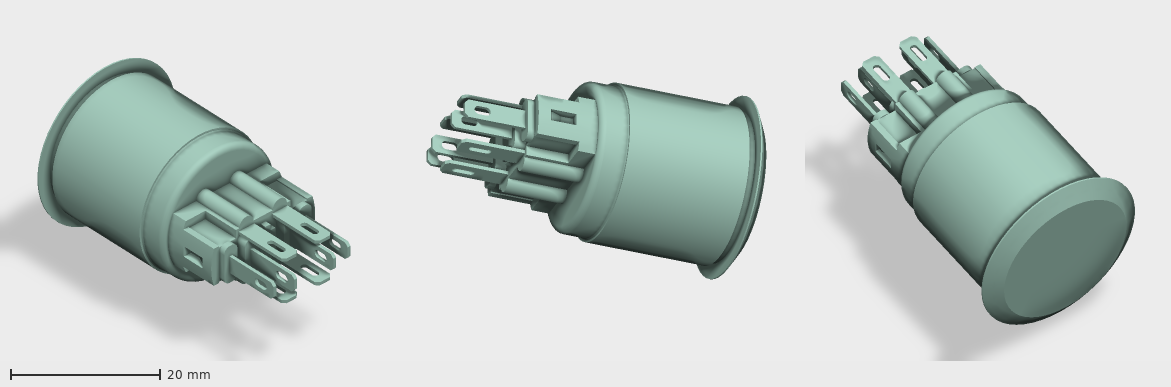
import cadquery as cq

flange_diameter = 25.0
face_diameter = 20.05
flange_rim_start = 1.55
flange_back = 1.75
neck_diameter = 20.8
barrel_diameter = 21.8
barrel_start = 2.75
barrel_end = 19.95
step_diameter = 21.15
step_end = 20.15
housing_end = 24.0
housing_end_radius = 0.9

block_end = 32.53
block_diameter = 18.95
block_half_height = 4.2
rib_radius = 1.3
terminal_row_y = 3.05

notch_start = 26.5
notch_floor_z = 3.05
notch_inner_y = 4.95
notch_lip_y = 8.05
notch_lip_height = 0.2

pocket_start = 27.1
pocket_end = 30.77
pocket_height = 1.7
pocket_depth = 1.35
pocket_shallow_depth = 0.7
ramp_start = 28.8
ramp_end = 30.2

blade_thickness = 0.5
blade_chamfer = 0.5
side_blade_width = 2.7
side_slot_length = 2.3
side_slot_width = 1.25
side_slot_tip_gap = 1.35
flat_blade_width = 2.82
flat_blade_tip = 41.45
flat_blade_z = 3.42
flat_slot_length = 3.15
flat_slot_width = 1.05
flat_slot_tip_gap = 1.4

outer_blade_y = 6.75
outer_blade_tip = 42.15
outer_pad_end = 33.45
inner_blade_y = 3.55
inner_shift = 0.65
pad_width = 2.4
pad_height = 6.05
pad_corner_diameter = 2.0

middle_pad_width = 2.75
middle_pad_step_width = 0.9
middle_pad_height = pad_height
middle_pad_step_height = 4.02


def box_between(x_range, y_range, z_range):
    """Box spanning the given ranges, each a (low, high) pair."""
    sizes = [high - low for low, high in (x_range, y_range, z_range)]
    corner = (x_range[0], y_range[0], z_range[0])
    return cq.Workplane("XY").box(*sizes, centered=False).translate(corner)


def make_housing():
    profile = (
        cq.Workplane("XY")
        .moveTo(0, 0)
        .lineTo(0, face_diameter / 2)
        .lineTo(flange_rim_start, flange_diameter / 2)
        .lineTo(flange_back, flange_diameter / 2)
        .lineTo(flange_back, neck_diameter / 2)
        .lineTo(barrel_start, neck_diameter / 2)
        .lineTo(barrel_start, barrel_diameter / 2)
        .lineTo(barrel_end, barrel_diameter / 2)
        .lineTo(barrel_end, step_diameter / 2)
        .lineTo(step_end, neck_diameter / 2)
        .lineTo(housing_end, neck_diameter / 2)
        .lineTo(housing_end, 0)
        .close()
    )
    housing = profile.revolve(360, (0, 0, 0), (1, 0, 0))
    return housing.faces(">X").edges().fillet(housing_end_radius)


def make_block():
    length = block_end - housing_end
    block = cq.Workplane("YZ", origin=(housing_end, 0, 0)).circle(block_diameter / 2).extrude(length)
    flats = cq.Workplane("YZ", origin=(housing_end, 0, 0)).rect(block_diameter, 2 * block_half_height)
    block = block.intersect(flats.extrude(length))
    ribs = (
        cq.Workplane("YZ", origin=(housing_end, 0, 0))
        .rect(2 * terminal_row_y, 2 * block_half_height, forConstruction=True)
        .vertices()
        .circle(rib_radius)
        .extrude(length)
    )
    return block.union(ribs)


def make_corner_notch():
    x_range = (notch_start, block_end)
    outer_y = block_diameter / 2
    upper = box_between(x_range, (notch_inner_y, outer_y), (notch_floor_z, block_half_height))
    trough_z = notch_floor_z - notch_lip_height
    trough = box_between(x_range, (notch_inner_y, notch_lip_y), (trough_z, block_half_height))
    return upper.union(trough)


def make_latch_pocket():
    surface_y = block_diameter / 2
    deep_y = surface_y - pocket_depth
    shallow_y = surface_y - pocket_shallow_depth
    return (
        cq.Workplane("XY", origin=(0, 0, -pocket_height / 2))
        .moveTo(pocket_start, surface_y)
        .lineTo(pocket_start, deep_y)
        .lineTo(ramp_start, deep_y)
        .lineTo(ramp_end, shallow_y)
        .lineTo(pocket_end, shallow_y)
        .lineTo(pocket_end, surface_y)
        .close()
        .extrude(pocket_height)
    )


def make_blade(tip, width, slot_length, slot_width, slot_tip_gap):
    """Flat blade in the XY plane, from the block to its chamfered, slotted tip."""
    length = tip - block_end
    slot_x = tip - slot_tip_gap - slot_length / 2
    blade = (
        cq.Workplane("XY")
        .box(length, width, blade_thickness)
        .translate((block_end + length / 2, 0, 0))
        .edges("|Z and >X")
        .chamfer(blade_chamfer)
    )
    slot = cq.Workplane("XY").center(slot_x, 0).slot2D(slot_length, slot_width)
    return blade.cut(slot.extrude(blade_thickness, both=True))


def make_side_terminal(y, shift):
    """Upright blade on its rounded pad, both moved outward along X by shift."""
    blade = make_blade(
        outer_blade_tip + shift, side_blade_width, side_slot_length, side_slot_width, side_slot_tip_gap
    )
    pad = (
        cq.Workplane("YZ", origin=(block_end, 0, 0))
        .rect(pad_width, pad_height)
        .extrude(outer_pad_end + shift - block_end)
        .edges("|X")
        .fillet(pad_corner_diameter / 2)
    )
    upright = blade.rotate((0, 0, 0), (1, 0, 0), 90)
    return upright.union(pad).translate((0, y, 0))


def make_flat_terminal(y, z):
    blade = make_blade(flat_blade_tip, flat_blade_width, flat_slot_length, flat_slot_width, flat_slot_tip_gap)
    return blade.translate((0, y, z))


def make_middle_pad():
    thickness = outer_pad_end - block_end
    plane = cq.Workplane("YZ", origin=(block_end, 0, 0))
    wide = plane.rect(middle_pad_width, middle_pad_step_height).extrude(thickness)
    tall = plane.rect(middle_pad_step_width, middle_pad_height).extrude(thickness)
    return wide.union(tall)


block = make_block()
notch = make_corner_notch()
pocket = make_latch_pocket()
for cutter in (notch, notch.mirror("XY")):
    block = block.cut(cutter).cut(cutter.mirror("XZ"))
block = block.cut(pocket).cut(pocket.mirror("XZ"))

result = make_housing().union(block).union(make_middle_pad())
for side in (-1, 1):
    result = result.union(make_side_terminal(side * outer_blade_y, 0))
    result = result.union(make_side_terminal(side * inner_blade_y, inner_shift))
    for level in (-1, 1):
        result = result.union(make_flat_terminal(side * terminal_row_y, level * flat_blade_z))